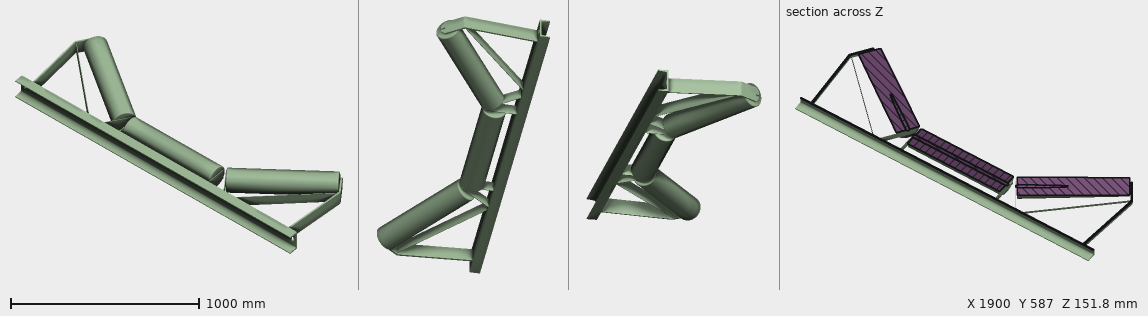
import cadquery as cq
import math


beam_length = 1900
beam_height = 120.0
beam_depth = 55.0
web_thickness = 8.0
flange_tip_thickness = 5.0
flange_root_thickness = 11.0
root_fillet = 8.0
end_slot_width = 17.0
end_slot_height = 32.0
end_slot_inset = 27.0

roller_diameter = 133
roller_length = 600.0
roller_end_fillet = 5.0
shaft_diameter = 17.0
middle_axis_y = 173.0
trough_angle = 35
assembly_depth = 587.0
wing_corner_x = -805.0
axis_drop = 19

weld_depth = 4.0
outer_strap_height = 80.0
outer_strap_thickness = 10.0
outer_plate_gap = 5.0
outer_plate_above_axis = 30.0
outer_plate_below_axis = 108.0
outer_plate_chamfer = 20.0
outer_foot_x = -885.0
bend_radius = 20.0
brace_thickness = 3.0
brace_height = 60.0
brace_foot_x = -480.0
inner_strap_height = 60.0
inner_strap_thickness = 4.0
inner_plate_gap = 4.0
inner_plate_above_axis = 45.0
middle_plate_gap = 5.0
middle_plate_top = 217.0

roller_radius = roller_diameter / 2
foot_y = beam_depth - weld_depth
cos_trough = math.cos(math.radians(trough_angle))
sin_trough = math.sin(math.radians(trough_angle))
inward = cq.Vector(cos_trough, -sin_trough, 0)
upward = cq.Vector(sin_trough, cos_trough, 0)
corner_loss = roller_end_fillet * (sin_trough + cos_trough - 1)
wing_end = cq.Vector(wing_corner_x, assembly_depth + corner_loss, 0) - upward * roller_radius
wing_dip = math.asin(axis_drop / roller_length)
wing_axis = inward * math.cos(wing_dip) + cq.Vector(0, 0, -math.sin(wing_dip))
wing_inner_end = wing_end + wing_axis * roller_length
wing_plane = cq.Plane(origin=wing_end, xDir=wing_axis, normal=wing_axis.cross(upward))
middle_plane = cq.Plane(origin=(-roller_length / 2, middle_axis_y, -axis_drop))
wing_shaft_start = -(outer_plate_gap + outer_strap_thickness)
wing_shaft_end = roller_length + inner_plate_gap + inner_strap_thickness
middle_overhang = middle_plate_gap + inner_strap_thickness


def mirrored(body):
    return body.mirror("YZ")


def cylinder(plane, start, end, diameter):
    """Cylinder along the local X axis of the plane, from start to end."""
    section = cq.Workplane(plane).transformed(rotate=(0, 90, 0), offset=(start, 0, 0))
    return section.circle(diameter / 2).extrude(end - start)


def roller(plane):
    shell = cylinder(plane, 0, roller_length, roller_diameter).edges("%CIRCLE").fillet(roller_end_fillet)
    return shell.cut(cylinder(plane, 0, roller_length, shaft_diameter))


def shaft_slot(plane, start, end):
    """Room for a shaft, open on the side away from the beam."""
    size = (end - start, roller_radius, shaft_diameter)
    opening = cq.Workplane(plane).box(*size, centered=(False, False, True)).translate(plane.xDir * start)
    return cylinder(plane, start, end, shaft_diameter).union(opening)


def strip(points, thickness, height):
    """Upright folded sheet with one face on the points, thickened to their left (right if negative)."""
    sides = []
    for a, b in zip(points, points[1:]):
        sides.append(cq.Vector(a.y - b.y, b.x - a.x, 0).normalized())
    offset_points = []
    for index, point in enumerate(points):
        before = sides[max(index - 1, 0)]
        after = sides[min(index, len(sides) - 1)]
        mitre = (before + after) * (thickness / (1 + before.dot(after)))
        offset_points.append(point + mitre)
    outline = [(p.x, p.y) for p in points + offset_points[::-1]]
    return cq.Workplane("XY", origin=(0, 0, -height / 2)).polyline(outline).close().extrude(height)


def channel():
    half_height = beam_height / 2
    web_front = beam_depth - web_thickness
    profile = [
        (0, -half_height),
        (beam_depth, -half_height),
        (beam_depth, half_height),
        (0, half_height),
        (0, half_height - flange_tip_thickness),
        (web_front, half_height - flange_root_thickness),
        (web_front, flange_root_thickness - half_height),
        (0, flange_tip_thickness - half_height),
    ]
    beam = cq.Workplane("YZ").polyline(profile).close().extrude(beam_length / 2, both=True)
    for root_z in (flange_root_thickness - half_height, half_height - flange_root_thickness):
        root_edge = cq.selectors.NearestToPointSelector((0, web_front, root_z))
        beam = beam.edges(root_edge).fillet(root_fillet)
    slot_x = beam_length / 2 - end_slot_inset
    slots = (
        cq.Workplane("XZ")
        .pushPoints([(-slot_x, 0), (slot_x, 0)])
        .slot2D(end_slot_height, end_slot_width, 90)
        .extrude(-beam_depth)
    )
    return beam.cut(slots)


def outer_bracket():
    """Strap from the beam to the outer end of the left wing roller, with a diagonal brace."""
    plate_face = wing_end - inward * (outer_plate_gap + outer_strap_thickness)
    tip = plate_face + upward * outer_plate_above_axis
    corner = plate_face - upward * outer_plate_below_axis
    foot = cq.Vector(outer_foot_x, foot_y, 0)
    strap = strip([foot, corner, tip], -outer_strap_thickness, outer_strap_height)
    bend_edge = cq.selectors.NearestToPointSelector((corner.x, corner.y, 0))
    strap = strap.edges(bend_edge).fillet(bend_radius)
    plate_tip = cq.Workplane(cq.Plane(origin=tip, xDir=upward, normal=inward))
    for side in (-1, 1):
        edge_y = side * outer_strap_height / 2
        triangle = [
            (0, edge_y),
            (-outer_plate_chamfer, edge_y),
            (0, edge_y - side * outer_plate_chamfer),
        ]
        strap = strap.cut(plate_tip.polyline(triangle).close().extrude(outer_strap_thickness))
    brace_start = corner + cq.Vector(outer_strap_thickness, 0, 0)
    brace = strip([brace_start, cq.Vector(brace_foot_x, foot_y, 0)], brace_thickness, brace_height)
    return strap.union(brace)


def inner_bracket():
    """Folded strip holding the inner end of the left wing roller and the left end of the middle one."""
    plate_face = wing_inner_end + inward * inner_plate_gap
    apex = plate_face + upward * inner_plate_above_axis
    foot = plate_face - upward * ((plate_face.y - foot_y) / upward.y)
    middle_x = -roller_length / 2 - middle_overhang
    middle_top = cq.Vector(middle_x, middle_plate_top, 0)
    middle_foot = cq.Vector(middle_x, foot_y, 0)
    wing_plate = strip([foot, apex], -inner_strap_thickness, inner_strap_height)
    middle_plate = strip([middle_top, middle_foot], inner_strap_thickness, inner_strap_height)
    return wing_plate.union(middle_plate).translate((0, 0, -axis_drop))


def frame():
    side = outer_bracket().union(inner_bracket())
    side = side.cut(shaft_slot(wing_plane, wing_shaft_start, 0))
    side = side.cut(shaft_slot(wing_plane, roller_length, wing_shaft_end))
    side = side.cut(shaft_slot(middle_plane, -middle_overhang, 0))
    return channel().union(side).union(mirrored(side))


left_roller = roller(wing_plane)
left_shaft = cylinder(wing_plane, wing_shaft_start, wing_shaft_end, shaft_diameter)
middle_shaft = cylinder(middle_plane, -middle_overhang, roller_length + middle_overhang, shaft_diameter)
rollers = [left_roller, roller(middle_plane), mirrored(left_roller)]
shafts = [left_shaft, middle_shaft, mirrored(left_shaft)]

result = cq.Compound.makeCompound([body.val() for body in [frame(), *rollers, *shafts]])